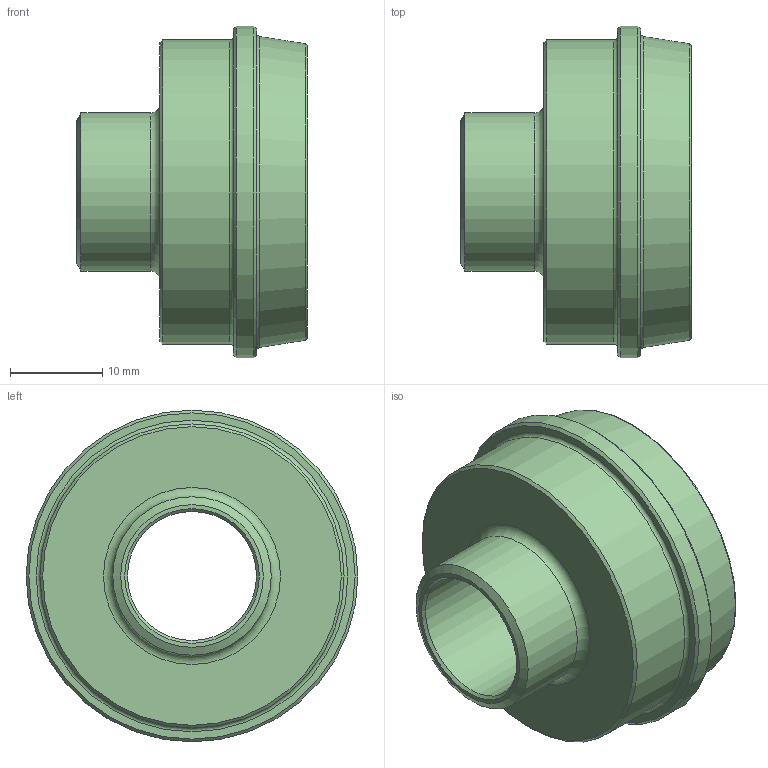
import cadquery as cq
import math

bore_radius = 14.0 / 2
tube_radius = 17.2 / 2
body_radius = 33.0 / 2
collar_radius = 36.0 / 2

body_start = 9.0
collar_start = 17.0
collar_end = 19.5
total_length = 25.0

taper_angle = math.radians(9.0)
taper_end_radius = 16.05
taper_start_radius = taper_end_radius + (total_length - collar_end) * math.tan(taper_angle)

weld_bevel_length = 0.45
weld_bevel_angle = math.radians(62.5)
weld_bevel_depth = weld_bevel_length * math.tan(weld_bevel_angle)
bore_chamfer = 0.3
edge_chamfer = 0.3
taper_end_fillet = 0.25
tube_fillet = 1.0
collar_fillet = 0.4


def circle_at(x, radius):
    """Selects the full-circle edge around the X axis at one station and radius."""
    tolerance = 0.01
    low = (x - tolerance, -radius - tolerance, -radius - tolerance)
    high = (x + tolerance, radius + tolerance, radius + tolerance)
    inner = radius - tolerance
    inner_low = (x - tolerance, -inner, -inner)
    inner_high = (x + tolerance, inner, inner)
    up_to_radius = cq.selectors.BoxSelector(low, high, boundingbox=True)
    smaller = cq.selectors.BoxSelector(inner_low, inner_high, boundingbox=True)
    return up_to_radius - smaller


def make_blank():
    """Revolves the sharp-edged half section about the X axis."""
    half_section = (
        cq.Workplane("XY")
        .moveTo(0, bore_radius)
        .lineTo(0, tube_radius - weld_bevel_depth)
        .lineTo(weld_bevel_length, tube_radius)
        .lineTo(body_start, tube_radius)
        .lineTo(body_start, body_radius)
        .lineTo(collar_start, body_radius)
        .lineTo(collar_start, collar_radius)
        .lineTo(collar_end, collar_radius)
        .lineTo(collar_end, taper_start_radius)
        .lineTo(total_length, taper_end_radius)
        .lineTo(total_length, bore_radius)
        .close()
    )
    return half_section.revolve(360, (0, 0, 0), (1, 0, 0))


def fillet_corners(part):
    """Rounds the tube root, both roots of the collar and the far rim of the taper."""
    corners = [
        (body_start, tube_radius, tube_fillet),
        (collar_start, body_radius, collar_fillet),
        (collar_end, taper_start_radius, collar_fillet),
        (total_length, taper_end_radius, taper_end_fillet),
    ]
    for x, radius, size in corners:
        part = part.edges(circle_at(x, radius)).fillet(size)
    return part


def chamfer_rims(part):
    """Breaks the outside edges and the mouth of the bore."""
    rims = [
        (0, bore_radius, bore_chamfer),
        (body_start, body_radius, edge_chamfer),
        (collar_start, collar_radius, edge_chamfer),
        (collar_end, collar_radius, edge_chamfer),
    ]
    for x, radius, size in rims:
        part = part.edges(circle_at(x, radius)).chamfer(size)
    return part


result = chamfer_rims(fillet_corners(make_blank()))